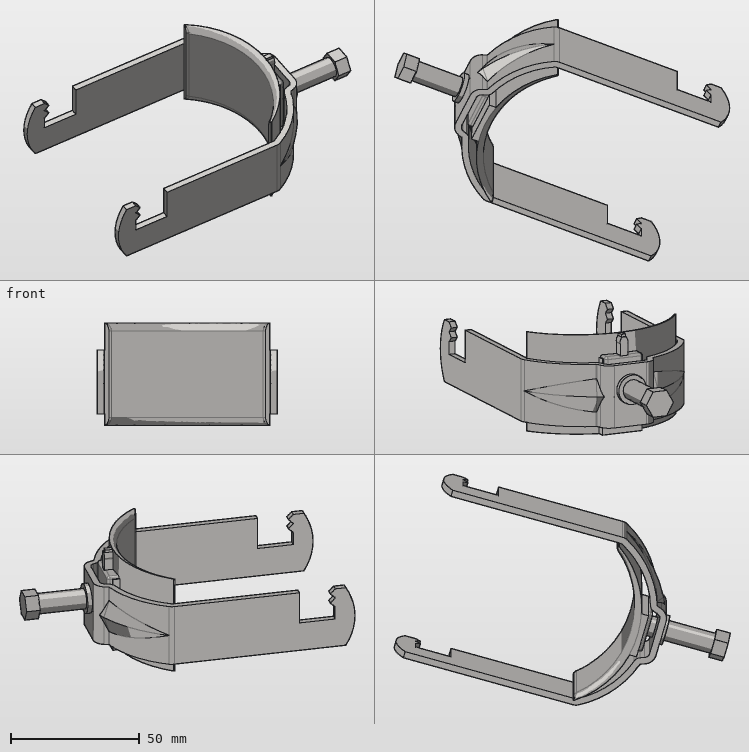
import cadquery as cq
import math


thickness = 2.6
strap_width = 25.0
strap_z = -3.0
arm_outer_x = 35.02
arm_inner_x = arm_outer_x - thickness
crown_top_y = 35.8
crown_half_width = 7.0
crown_bend_radius = 2.2
crown_bend_angle = math.radians(70)
neck_radius = 0.4
shoulder_radius = 36.7
shoulder_center_y = -6.6
arm_bend_radius = 1.5

hook_end_y = -62.2
hook_bulge = 3.7
notch_start_y = -40.0
notch_end_y = -54.2
notch_depth = 13.1
tooth_count = 2
tooth_height = 2.0

gusset_half_width = 6.7
gusset_ridge_radius = 52.3
gusset_tip = 0.02
gusset_steps = 6

screw_z = -0.5
screw_diameter = 8.1
screw_tip_y = 30.4
head_top_y = 62.2
head_length = 5.5
head_across_corners = 11.7
washer_diameter = 11.8
washer_thickness = 1.9

saddle_height = 40.0
saddle_half_width = 32.1
saddle_radius = 39.2
saddle_back_y = 26.5
saddle_depth = 3.0
saddle_end_y = 9.3
rim_height = 3.1
rim_land = 0.1
rim_steps = 6
mouth_overrun = 1.2
end_round = 0.6

block_half_width = 8.1
block_half_height = 12.2
block_fillet = 1.0
foot_half_width = 8.6
foot_back_y = 28.4
foot_top_z = 10.7
rib_back_y = 30.0
rib_half_width = 1.6
rib_tip_half_width = 0.93
rib_round_bottom_z = 16.3
rib_round_top_z = 18.9
rib_tip_back_y = 29.5


def polar(center, radius, angle):
    """Point at the given radius, with the angle measured from +Y toward +X.

    A negative radius gives the point on the opposite side of the centre.
    """
    return (center[0] + radius * math.sin(angle), center[1] + radius * math.cos(angle))


shoulder_center = (0, shoulder_center_y)
shoulder_outer_radius = shoulder_radius + thickness
crown_bend_outer_radius = crown_bend_radius + thickness
neck_outer_radius = neck_radius + thickness
crown_bend_center = (crown_half_width, crown_top_y - crown_bend_outer_radius)

neck_start = polar(crown_bend_center, crown_bend_outer_radius + neck_radius, crown_bend_angle)
run_x = math.cos(crown_bend_angle)
run_y = -math.sin(crown_bend_angle)
from_center_x = neck_start[0] - shoulder_center[0]
from_center_y = neck_start[1] - shoulder_center[1]
along = from_center_x * run_x + from_center_y * run_y
excess = from_center_x**2 + from_center_y**2 - (shoulder_outer_radius + neck_radius) ** 2
straight_length = -along - math.sqrt(along**2 - excess)
neck_center = (neck_start[0] + straight_length * run_x, neck_start[1] + straight_length * run_y)
shoulder_start_angle = math.atan2(neck_center[0], neck_center[1] - shoulder_center_y)

arm_bend_x = arm_inner_x - arm_bend_radius
shoulder_end_angle = math.asin(arm_bend_x / (shoulder_radius - arm_bend_radius))
arm_bend_center = polar(shoulder_center, shoulder_radius - arm_bend_radius, shoulder_end_angle)


def add_arc(outline, center, radius, start, end):
    """Arc from the current point, which must lie at the start angle, to the end angle."""
    return outline.threePointArc(
        polar(center, radius, (start + end) / 2), polar(center, radius, end)
    )


def strap_band():
    """Bent strip: half of the outline is extruded and mirrored."""
    neck_angles = (crown_bend_angle, shoulder_start_angle)
    shoulder_angles = (shoulder_start_angle, shoulder_end_angle)
    arm_angles = (shoulder_end_angle, math.pi / 2)
    crown_bottom_y = crown_top_y - thickness
    outline = cq.Workplane("XY").moveTo(0, crown_top_y).lineTo(crown_half_width, crown_top_y)
    outline = add_arc(outline, crown_bend_center, crown_bend_outer_radius, 0, crown_bend_angle)
    outline = outline.lineTo(*polar(neck_center, -neck_radius, crown_bend_angle))
    outline = add_arc(outline, neck_center, -neck_radius, *neck_angles)
    outline = add_arc(outline, shoulder_center, shoulder_outer_radius, *shoulder_angles)
    outline = add_arc(outline, arm_bend_center, arm_bend_radius + thickness, *arm_angles)
    outline = outline.lineTo(arm_outer_x, hook_end_y).lineTo(arm_inner_x, hook_end_y)
    outline = outline.lineTo(arm_inner_x, arm_bend_center[1])
    outline = add_arc(outline, arm_bend_center, arm_bend_radius, *arm_angles[::-1])
    outline = add_arc(outline, shoulder_center, shoulder_radius, *shoulder_angles[::-1])
    outline = add_arc(outline, neck_center, -neck_outer_radius, *neck_angles[::-1])
    outline = outline.lineTo(*polar(crown_bend_center, crown_bend_radius, crown_bend_angle))
    outline = add_arc(outline, crown_bend_center, crown_bend_radius, crown_bend_angle, 0)
    half = outline.lineTo(0, crown_bottom_y).close().extrude(strap_width / 2, both=True)
    return half.union(half.mirror("YZ")).translate((0, 0, strap_z))


def hook_profile():
    """Side outline of the strap, with the toothed notches and round hook ends, cut through in X."""
    top = strap_z + strap_width / 2
    bottom = strap_z - strap_width / 2
    corner_y = hook_end_y + hook_bulge
    outline = (
        cq.Workplane("YZ")
        .moveTo(crown_top_y, bottom)
        .lineTo(crown_top_y, top)
        .lineTo(notch_start_y, top)
        .lineTo(notch_start_y, top - notch_depth)
        .lineTo(notch_end_y, top - notch_depth)
        .lineTo(notch_end_y, top - 2 * tooth_height * tooth_count)
    )
    for tooth in reversed(range(tooth_count)):
        tooth_top = top - 2 * tooth_height * tooth
        outline = outline.lineTo(notch_end_y + tooth_height, tooth_top - tooth_height)
        outline = outline.lineTo(notch_end_y, tooth_top)
    outline = outline.lineTo(corner_y, top).threePointArc((hook_end_y, strap_z), (corner_y, bottom))
    return outline.close().extrude(arm_outer_x, both=True)


def ridge_radius_at(angle):
    """Distance of the gusset's ridge arc from the shoulder centre, at an angle around that centre."""
    start = (crown_half_width, crown_top_y)
    end = polar(shoulder_center, shoulder_outer_radius, shoulder_end_angle)
    chord_x = end[0] - start[0]
    chord_y = end[1] - start[1]
    chord = math.hypot(chord_x, chord_y)
    drop = math.sqrt(gusset_ridge_radius**2 - chord**2 / 4)
    center_x = (start[0] + end[0]) / 2 + drop * chord_y / chord - shoulder_center[0]
    center_y = (start[1] + end[1]) / 2 - drop * chord_x / chord - shoulder_center[1]
    along_ray = center_x * math.sin(angle) + center_y * math.cos(angle)
    return along_ray + math.sqrt(along_ray**2 - center_x**2 - center_y**2 + gusset_ridge_radius**2)


def gusset_section(angle, foot_radius, half_width):
    """Roof on a plinth, in the plane through the shoulder axis; the plinth sinks into the strap."""
    foot_point = polar(shoulder_center, foot_radius, angle)
    ridge_point = polar(shoulder_center, max(ridge_radius_at(angle), foot_radius) + gusset_tip, angle)
    sunk_point = polar(shoulder_center, foot_radius - thickness / 2, angle)
    corners = [
        cq.Vector(*sunk_point, -half_width),
        cq.Vector(*foot_point, -half_width),
        cq.Vector(*ridge_point, 0),
        cq.Vector(*foot_point, half_width),
        cq.Vector(*sunk_point, half_width),
    ]
    return cq.Wire.makePolygon(corners, close=True)


def gusset():
    """Ridge over the +X shoulder: widest at the neck, running out at the crown and at the arm."""
    crown_angle = math.atan2(crown_half_width, crown_top_y - shoulder_center_y)
    crown_radius = math.hypot(crown_half_width, crown_top_y - shoulder_center_y)
    fall = math.cos(shoulder_start_angle) - math.cos(shoulder_end_angle)
    sections = []
    for step in range(gusset_steps + 1):
        angle = shoulder_start_angle + (shoulder_end_angle - shoulder_start_angle) * step / gusset_steps
        share = (math.cos(angle) - math.cos(shoulder_end_angle)) / fall
        half_width = max(gusset_half_width * share, gusset_tip)
        sections.append(gusset_section(angle, shoulder_outer_radius, half_width))
    crown_tip = gusset_section(crown_angle, crown_radius, gusset_tip)
    shoulder_side = cq.Workplane(cq.Solid.makeLoft(sections))
    crown_side = cq.Workplane(cq.Solid.makeLoft([crown_tip, sections[0]], True))
    return shoulder_side.union(crown_side).translate((0, 0, strap_z))


def screw_shank(bottom_y, length):
    """Cylinder of the screw's diameter on the screw axis."""
    section = cq.Workplane("XZ", origin=(0, bottom_y, screw_z)).circle(screw_diameter / 2)
    return section.extrude(-length)


def make_strap():
    ridge = gusset()
    strap = strap_band().intersect(hook_profile())
    strap = strap.union(ridge).union(ridge.mirror("YZ"))
    return strap.cut(screw_shank(crown_top_y - thickness, thickness))


def make_screw():
    head_bottom_y = head_top_y - head_length
    head = (
        cq.Workplane("XZ", origin=(0, head_bottom_y, screw_z))
        .polygon(6, head_across_corners)
        .extrude(-head_length)
    )
    return head.union(screw_shank(screw_tip_y, head_bottom_y - screw_tip_y))


def make_washer():
    return (
        cq.Workplane("XZ", origin=(0, crown_top_y, screw_z))
        .circle(washer_diameter / 2)
        .circle(screw_diameter / 2)
        .extrude(-washer_thickness)
    )


def saddle_arc_y(x, crest_y):
    """Height of a saddle arc with its crest at crest_y."""
    return crest_y - saddle_radius + math.sqrt(saddle_radius**2 - x**2)


def hollow_section(depth, z):
    """Outline of the hollow at height z, with its arc shifted from the saddle's back by depth."""
    crest_y = saddle_back_y - depth
    end_x = math.sqrt(saddle_radius**2 - (saddle_end_y - crest_y + saddle_radius) ** 2)
    rounding = end_round * depth / saddle_depth
    arc_end_x = end_x - rounding
    mouth_x = end_x + rounding / 2
    return (
        cq.Workplane("XY", origin=(0, 0, z))
        .moveTo(mouth_x, saddle_end_y - mouth_overrun)
        .lineTo(mouth_x, saddle_end_y)
        .lineTo(arc_end_x, saddle_arc_y(arc_end_x, crest_y))
        .threePointArc((0, crest_y), (-arc_end_x, saddle_arc_y(arc_end_x, crest_y)))
        .lineTo(-mouth_x, saddle_end_y)
        .lineTo(-mouth_x, saddle_end_y - mouth_overrun)
        .close()
        .val()
    )


def saddle_shell():
    """Curved shell whose hollow rounds out toward the back along the top and bottom rims."""
    flat_half_height = saddle_height / 2 - rim_height
    flat_bottom = hollow_section(saddle_depth, -flat_half_height)
    flat = cq.Solid.extrudeLinear(flat_bottom, [], cq.Vector(0, 0, 2 * flat_half_height))
    sections = []
    for step in range(rim_steps + 1):
        angle = math.pi / 2 * step / rim_steps
        depth = rim_land + (saddle_depth - rim_land) * math.cos(angle)
        sections.append(hollow_section(depth, flat_half_height + rim_height * math.sin(angle)))
    rim = cq.Workplane(cq.Solid.makeLoft(sections))

    back_end_y = saddle_arc_y(saddle_half_width, saddle_back_y)
    blank = (
        cq.Workplane("XY")
        .moveTo(-saddle_half_width, saddle_end_y)
        .lineTo(-saddle_half_width, back_end_y)
        .threePointArc((0, saddle_back_y), (saddle_half_width, back_end_y))
        .lineTo(saddle_half_width, saddle_end_y)
        .close()
        .extrude(saddle_height / 2, both=True)
    )
    return blank.cut(cq.Workplane(flat)).cut(rim).cut(rim.mirror("XY"))


def pressure_block():
    """Block that takes the screw tip; it reaches into the shell."""
    front_y = saddle_arc_y(block_half_width, saddle_back_y) - saddle_depth / 2
    depth = screw_tip_y - front_y
    return (
        cq.Workplane("XY")
        .box(2 * block_half_width, depth, 2 * block_half_height)
        .edges("(>Y or |Y)")
        .fillet(block_fillet)
        .translate((0, front_y + depth / 2, screw_z))
    )


def foot():
    """Flat pad behind the shell, from the block down to the lower rim."""
    bottom_z = -saddle_height / 2
    front_y = saddle_arc_y(foot_half_width, saddle_back_y)
    return (
        cq.Workplane("XY", origin=(0, 0, bottom_z))
        .moveTo(-foot_half_width, front_y)
        .lineTo(-foot_half_width, foot_back_y)
        .lineTo(foot_half_width, foot_back_y)
        .lineTo(foot_half_width, front_y)
        .threePointArc((0, saddle_back_y), (-foot_half_width, front_y))
        .close()
        .extrude(foot_top_z - bottom_z)
    )


def latch_rib():
    """Rib from the block to the upper rim, narrowing with a round to its tip."""
    top_z = saddle_height / 2
    diagonal = math.sqrt(0.5)
    round_x = rib_tip_half_width + (rib_half_width - rib_tip_half_width) * diagonal
    round_z = rib_round_bottom_z + (rib_round_top_z - rib_round_bottom_z) * diagonal
    rib = (
        cq.Workplane("XZ", origin=(0, saddle_back_y, 0))
        .moveTo(-rib_half_width, screw_z)
        .lineTo(-rib_half_width, rib_round_bottom_z)
        .threePointArc((-round_x, round_z), (-rib_tip_half_width, rib_round_top_z))
        .lineTo(-rib_tip_half_width, top_z)
        .lineTo(rib_tip_half_width, top_z)
        .lineTo(rib_tip_half_width, rib_round_top_z)
        .threePointArc((round_x, round_z), (rib_half_width, rib_round_bottom_z))
        .lineTo(rib_half_width, screw_z)
        .close()
        .extrude(saddle_back_y - rib_back_y)
    )
    step_depth = rib_back_y - rib_tip_back_y
    step_height = top_z - rib_round_top_z
    step = cq.Workplane("XY").box(2 * rib_half_width, step_depth, step_height).translate(
        (0, rib_back_y - step_depth / 2, top_z - step_height / 2)
    )
    return rib.cut(step)


def make_saddle():
    return saddle_shell().union(foot()).union(pressure_block()).union(latch_rib())


strap = make_strap()
screw = make_screw()
washer = make_washer()
saddle = make_saddle()

result = cq.Compound.makeCompound([body.solids().val() for body in (strap, screw, washer, saddle)])